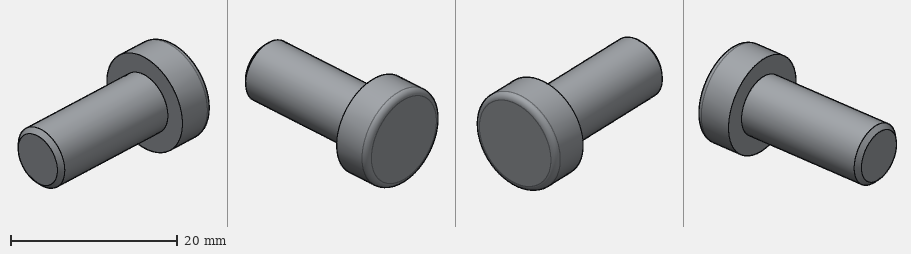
import cadquery as cq

head_diameter = 13.0
head_height = 5.0
head_edge_radius = 0.8
shank_diameter = 8.0
shank_length = 18.0
tip_diameter = 6.75
tip_chamfer = (shank_diameter - tip_diameter) / 2


def make_head():
    """Cylindrical head with a rounded outer edge on its top face."""
    head = cq.Workplane("XZ").circle(head_diameter / 2).extrude(-head_height)
    return head.faces(">Y").edges().fillet(head_edge_radius)


def make_shank():
    """Plain shank with a 45 degree chamfer at its tip."""
    shank = cq.Workplane("XZ").circle(shank_diameter / 2).extrude(shank_length)
    return shank.faces("<Y").edges().chamfer(tip_chamfer)


result = make_head().union(make_shank())